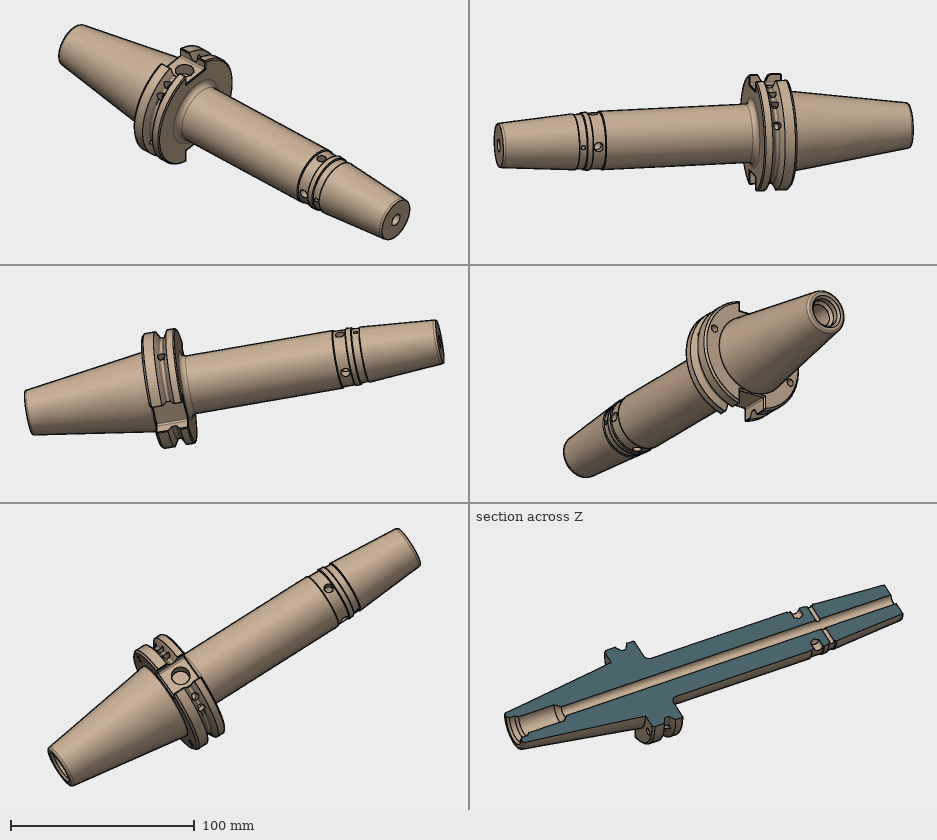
import cadquery as cq
import math

total_length = 228.2

shank_length = 68.5
gauge_diameter = 44.5
gauge_radius = gauge_diameter / 2
taper_per_side = 7 / 48
shank_end_fillet = 1.4
shank_end_radius = gauge_radius - shank_length * taper_per_side

flange_radius = 31.7
flange_start = 69.0
flange_end = 87.2
flange_front_chamfer = 1.1
flange_rear_chamfer = 0.7
groove_center = 79.2
groove_half_mouth = 3.5
groove_root_radius = 27.8
groove_root_fillet = 0.7
groove_flank_angle = 30.0
groove_half_root = groove_half_mouth - (flange_radius - groove_root_radius) * math.tan(
    math.radians(groove_flank_angle)
)

slot_half_width = 8.0
slot_mouth_half_width = 8.5
slot_mouth_height = 30.5
top_slot_floor = 25.0
bottom_slot_floor = 22.8
slot_floor_fillet = 1.0
slot_front_chamfer = 1.0
slot_rear_chamfer = 0.5
dimple_radius = 5.0
dimple_depth = 6.8

coolant_hole_radius = 2.0
coolant_circle_radius = 27.0
coolant_angle = 20.0
coolant_hole_depth = 5.7
radial_hole_radius = 2.0
radial_hole_depth = 4.5
balance_angles = (45.0, 60.0)

body_radius = 16.0
body_root_fillet = 3.2
cone_start = 177.8
nose_radius = 12.0
nose_chamfer_length = 1.4
nose_chamfer_depth = 0.2

ring_spans = ((171.6, 179.2), (182.0, 186.7))
ring_depth = 0.57
ring_flank = 0.5

screw_hole_x = 176.0
screw_hole_radius = 2.5
screw_hole_depth = 5.7
screw_hole_count = 4
cross_hole_x = 184.5
cross_hole_radius = 1.1

drill_point_angle = 118.0

bore_mouth_radius = 9.4
pilot_radius = 8.0
pilot_depth = 4.5
thread_radius = 6.5
thread_depth = 27.5
through_radius = 3.5


def revolve(profile):
    """Turn a closed profile of (x, radius) around the X axis."""
    return profile.close().revolve(360, (0, 0, 0), (1, 0, 0))


def side_radius(x):
    """Radius of the body and nose cone at x, without the ring grooves."""
    slope = (body_radius - nose_radius) / (total_length - cone_start)
    return body_radius - max(0.0, x - cone_start) * slope


def make_spindle():
    nose_chamfer_x = total_length - nose_chamfer_length
    spindle = revolve(
        cq.Workplane("XZ")
        .polyline([
            (0, 0),
            (0, shank_end_radius),
            (shank_length, gauge_radius),
            (flange_end, gauge_radius),
            (flange_end, body_radius),
            (cone_start, body_radius),
            (nose_chamfer_x, side_radius(nose_chamfer_x)),
            (total_length, nose_radius - nose_chamfer_depth),
            (total_length, 0),
        ])
    )
    return spindle.faces("<X").edges().fillet(shank_end_fillet)


def make_root_fillet():
    """Concave fillet between the rear flange face and the body."""
    return revolve(
        cq.Workplane("XZ")
        .moveTo(flange_end, gauge_radius - body_root_fillet)
        .lineTo(flange_end, body_radius + body_root_fillet)
        .radiusArc((flange_end + body_root_fillet, body_radius), -body_root_fillet)
        .lineTo(flange_end + body_root_fillet, body_radius - body_root_fillet)
        .lineTo(flange_end, body_radius - body_root_fillet)
    )


def make_flange_disc():
    disc = (
        cq.Workplane("YZ", origin=(flange_start, 0, 0))
        .circle(flange_radius)
        .extrude(flange_end - flange_start)
    )
    disc = disc.faces("<X").chamfer(flange_front_chamfer)
    disc = disc.faces(">X").chamfer(flange_rear_chamfer)
    groove = revolve(
        cq.Workplane("XZ")
        .polyline([
            (groove_center - groove_half_mouth, flange_radius),
            (groove_center - groove_half_root, groove_root_radius),
            (groove_center + groove_half_root, groove_root_radius),
            (groove_center + groove_half_mouth, flange_radius),
        ])
    )
    root_edges = cq.selectors.RadiusNthSelector(0)
    return disc.cut(groove.edges(root_edges).fillet(groove_root_fillet))


def make_slot(floor):
    """Cutter for a drive slot on the +Z side, floor at the given height."""
    flare = slot_mouth_half_width - slot_half_width
    top = flange_radius + slot_half_width
    flare_start = slot_mouth_height - flare
    top_half_width = slot_half_width + top - flare_start
    length = flange_end - flange_start
    slot = (
        cq.Workplane("YZ", origin=(flange_start, 0, 0))
        .polyline([
            (-slot_half_width, floor),
            (slot_half_width, floor),
            (slot_half_width, flare_start),
            (top_half_width, top),
            (-top_half_width, top),
            (-slot_half_width, flare_start),
        ])
        .close()
        .extrude(length)
        .faces("<Z")
        .edges("|X")
        .fillet(slot_floor_fillet)
    )
    face_chamfers = (
        (flange_start, slot_front_chamfer, 1),
        (flange_end, slot_rear_chamfer, -1),
    )
    for face_x, chamfer, inward in face_chamfers:
        bottom = floor - chamfer
        bevel = (
            cq.Workplane("YZ", origin=(face_x, 0, (bottom + top) / 2))
            .rect(2 * (slot_half_width + chamfer), top - bottom)
            .extrude(inward * chamfer, taper=45)
        )
        slot = slot.union(bevel)
    return slot


def blind_hole(mouth, direction, radius, depth):
    """Cutter for a drilled hole with a conical point beyond its full depth."""
    point_length = radius / math.tan(math.radians(drill_point_angle / 2))
    drill = cq.Solid.makeCylinder(radius, depth, mouth, direction)
    point = cq.Solid.makeCone(radius, 0, point_length, mouth + direction * depth, direction)
    return cq.Workplane(drill).union(cq.Workplane(point))


def outward(angle):
    """Unit vector away from the axis; angle is measured from +Y toward +Z."""
    return cq.Vector(0, math.cos(math.radians(angle)), math.sin(math.radians(angle)))


def radial_blind_hole(x, angle, radius, surface_radius, depth, clearance=2.3):
    """Cutter for a hole drilled toward the axis, depth counted from surface_radius."""
    direction = outward(angle)
    mouth = cq.Vector(x, 0, 0) + direction * (surface_radius + clearance)
    return blind_hole(mouth, -direction, radius, depth + clearance)


def cut_flange_holes(part):
    coolant_angles = (coolant_angle, 180 + coolant_angle)
    for angle in coolant_angles:
        mouth = cq.Vector(flange_start, 0, 0) + outward(angle) * coolant_circle_radius
        part = part.cut(
            blind_hole(mouth, cq.Vector(1, 0, 0), coolant_hole_radius, coolant_hole_depth)
        )
    mirrored_balance_angles = tuple(180 - angle for angle in balance_angles)
    for angle in coolant_angles + balance_angles + mirrored_balance_angles:
        part = part.cut(
            radial_blind_hole(
                groove_center, angle, radial_hole_radius, groove_root_radius, radial_hole_depth
            )
        )
    dimple = (
        cq.Workplane("XY", origin=(groove_center, 0, top_slot_floor))
        .circle(dimple_radius)
        .extrude(-dimple_depth)
    )
    return part.cut(dimple)


def make_ring(start, end):
    """Cutter for a shallow ring groove with sloped flanks."""
    clear = body_radius + ring_depth
    return revolve(
        cq.Workplane("XZ")
        .polyline([
            (start, clear),
            (start, side_radius(start)),
            (start + ring_flank, side_radius(start) - ring_depth),
            (end - ring_flank, side_radius(end) - ring_depth),
            (end, side_radius(end)),
            (end, clear),
        ])
    )


def make_bore():
    mouth_depth = bore_mouth_radius - pilot_radius
    thread_start = pilot_depth + pilot_radius - thread_radius
    drill_tip_end = thread_depth + thread_radius - through_radius
    return revolve(
        cq.Workplane("XZ")
        .polyline([
            (0, 0),
            (0, bore_mouth_radius),
            (mouth_depth, pilot_radius),
            (pilot_depth, pilot_radius),
            (thread_start, thread_radius),
            (thread_depth, thread_radius),
            (drill_tip_end, through_radius),
            (total_length, through_radius),
            (total_length, 0),
        ])
    )


def cut_nose_holes(part):
    for index in range(screw_hole_count):
        angle = index * 360 / screw_hole_count
        part = part.cut(
            radial_blind_hole(
                screw_hole_x, angle, screw_hole_radius, body_radius, screw_hole_depth
            )
        )
    cross_hole = (
        cq.Workplane("XZ", origin=(cross_hole_x, 0, 0))
        .circle(cross_hole_radius)
        .extrude(body_radius, both=True)
    )
    return part.cut(cross_hole)


flange = make_flange_disc()
flange = flange.cut(make_slot(top_slot_floor))
flange = flange.cut(make_slot(bottom_slot_floor).rotate((0, 0, 0), (1, 0, 0), 180))

part = make_spindle().union(make_root_fillet()).union(flange)
part = cut_flange_holes(part)
for ring_start, ring_end in ring_spans:
    part = part.cut(make_ring(ring_start, ring_end))
part = part.cut(make_bore())
result = cut_nose_holes(part)